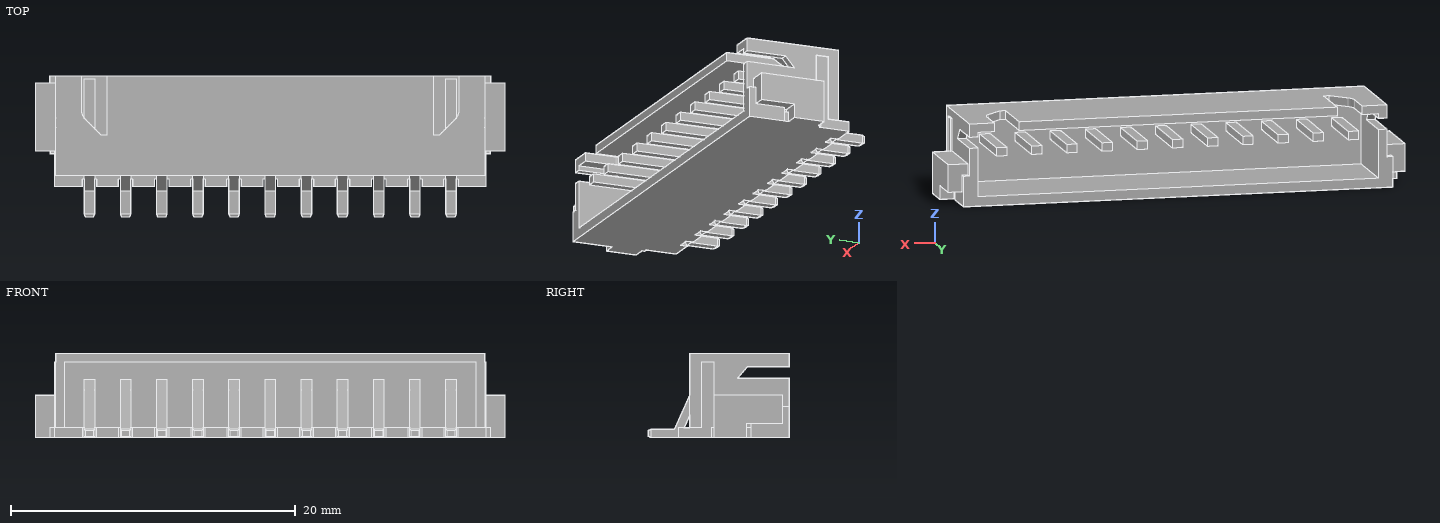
import cadquery as cq
import math


pin_count = 11
pin_pitch = 2.54
pin_width = 0.75
pin_thickness = 0.6
pin_tip_y = -0.2
pin_top = 4.1
pin_bend_y = -6.5
foot_bend_y = -8.07
foot_end_y = -9.91
foot_taper_length = 0.2
foot_taper_inset = 0.09

housing_width = 30.14
housing_height = 5.92
housing_depth = 7.0
wall = 0.62

carrier_width = 30.34
carrier_back_y = -5.28
carrier_front_y = -6.18
base_height = 0.7
base_front_y = -7.77
pin_notch_width = 1.0
pin_notch_back_y = -7.25

latch_outer_x = 13.27
latch_inner_x = 11.48
latch_end_width = 0.39
latch_depth = 4.16
latch_arc_radius = 1.0

slot_bottom = 4.18
slot_top = 4.97
slot_bottom_depth = 3.62
slot_top_depth = 2.94

overall_width = 32.99
tab_back_y = -0.49
tab_top = 2.98
tab_underside = 1.0
tab_leg_y = -3.0
rear_rib_width = 30.98
front_rib_width = 30.92
rear_rib_height = 2.2
rib_step_y = -2.68
rib_front_y = -5.48

cavity_width = housing_width - 2 * wall
cavity_top = housing_height - wall


def block(x_range, y_range, z_range):
    """Axis-aligned block between pairs of limits."""
    sizes = [abs(b - a) for a, b in (x_range, y_range, z_range)]
    corner = [min(limits) for limits in (x_range, y_range, z_range)]
    return cq.Workplane("XY").box(*sizes, centered=False).translate(tuple(corner))


def centred_block(width, y_range, z_range):
    """Block that is symmetric about the X = 0 plane."""
    return block((-width / 2, width / 2), y_range, z_range)


def side_profile(points, width):
    """Extrude a closed (y, z) outline along X, symmetric about X = 0."""
    return cq.Workplane("YZ").polyline(points).close().extrude(width / 2, both=True)


def latch_notch():
    """Roof notch on the +X side: an outer edge curving into a 45 degree ramp."""
    ramp_end_x = latch_inner_x + latch_end_width
    quarter = math.pi / 4
    half_quarter = math.pi / 8
    arc_end_x = latch_outer_x - latch_arc_radius * (1 - math.cos(quarter))
    arc_end_y = -latch_depth + (arc_end_x - ramp_end_x)
    arc_start_y = arc_end_y + latch_arc_radius * math.sin(quarter)
    arc_mid = (
        latch_outer_x - latch_arc_radius * (1 - math.cos(half_quarter)),
        arc_start_y - latch_arc_radius * math.sin(half_quarter),
    )
    return (
        cq.Workplane("XY")
        .workplane(offset=cavity_top)
        .moveTo(latch_inner_x, 0)
        .lineTo(latch_outer_x, 0)
        .lineTo(latch_outer_x, arc_start_y)
        .threePointArc(arc_mid, (arc_end_x, arc_end_y))
        .lineTo(ramp_end_x, -latch_depth)
        .lineTo(latch_inner_x, -latch_depth)
        .close()
        .extrude(wall)
    )


def housing():
    """Shell with an open cavity, latch notches in the roof and slots in both side walls."""
    shell = centred_block(housing_width, (0, -housing_depth), (0, housing_height))
    cavity = centred_block(cavity_width, (0, -housing_depth), (base_height, cavity_top))
    side_slots = side_profile(
        [
            (0, slot_bottom),
            (-slot_bottom_depth, slot_bottom),
            (-slot_top_depth, slot_top),
            (0, slot_top),
        ],
        housing_width,
    )
    notch = latch_notch()
    return shell.cut(cavity).cut(side_slots).cut(notch).cut(notch.mirror("YZ"))


def carrier():
    """L-shaped contact carrier that closes the cavity."""
    return side_profile(
        [
            (carrier_back_y, 0),
            (base_front_y, 0),
            (base_front_y, base_height),
            (carrier_front_y, base_height),
            (carrier_front_y, cavity_top),
            (carrier_back_y, cavity_top),
        ],
        carrier_width,
    )


def pin_notch(x):
    """Notch in the front edge of the base around one pin."""
    half = pin_notch_width / 2
    return block((x - half, x + half), (base_front_y, pin_notch_back_y), (0, base_height))


def mounting_tabs():
    """Tabs on both ends, each with a leg down to the board."""
    return side_profile(
        [
            (tab_back_y, tab_top),
            (carrier_back_y, tab_top),
            (carrier_back_y, 0),
            (tab_leg_y, 0),
            (tab_leg_y, tab_underside),
            (tab_back_y, tab_underside),
        ],
        overall_width,
    )


def side_ribs():
    """High rear rib and low, slightly narrower front rib along the foot of both end walls."""
    rear = centred_block(rear_rib_width, (0, rib_step_y), (0, rear_rib_height))
    front = centred_block(front_rib_width, (rib_step_y, rib_front_y), (0, base_height))
    return rear.union(front)


def end_fittings():
    """Tabs and ribs, limited to the space outside the cavity."""
    inside = centred_block(cavity_width, (0, -housing_depth), (0, housing_height))
    return mounting_tabs().union(side_ribs()).cut(inside)


def pin():
    """Bent contact at X = 0: level blade, sloping stretch and a foot with a tapered end."""
    slope = math.atan2(pin_top - pin_thickness, pin_bend_y - foot_bend_y)
    mitre_shift = pin_thickness * math.tan(slope / 2)
    body_end_y = foot_end_y + foot_taper_length
    body = side_profile(
        [
            (pin_tip_y, pin_top),
            (pin_bend_y, pin_top),
            (foot_bend_y, pin_thickness),
            (body_end_y, pin_thickness),
            (body_end_y, 0),
            (foot_bend_y + mitre_shift, 0),
            (pin_bend_y + mitre_shift, pin_top - pin_thickness),
            (pin_tip_y, pin_top - pin_thickness),
        ],
        pin_width,
    )
    taper = (
        cq.Workplane("XZ", origin=(0, body_end_y, pin_thickness / 2))
        .rect(pin_width, pin_thickness)
        .workplane(offset=foot_taper_length)
        .rect(pin_width - 2 * foot_taper_inset, pin_thickness - 2 * foot_taper_inset)
        .loft()
    )
    return body.union(taper)


pin_positions = [(i - (pin_count - 1) / 2) * pin_pitch for i in range(pin_count)]

result = housing().union(end_fittings()).union(carrier())
for pin_x in pin_positions:
    result = result.cut(pin_notch(pin_x))
single_pin = pin()
for pin_x in pin_positions:
    result = result.union(single_pin.translate((pin_x, 0, 0)))